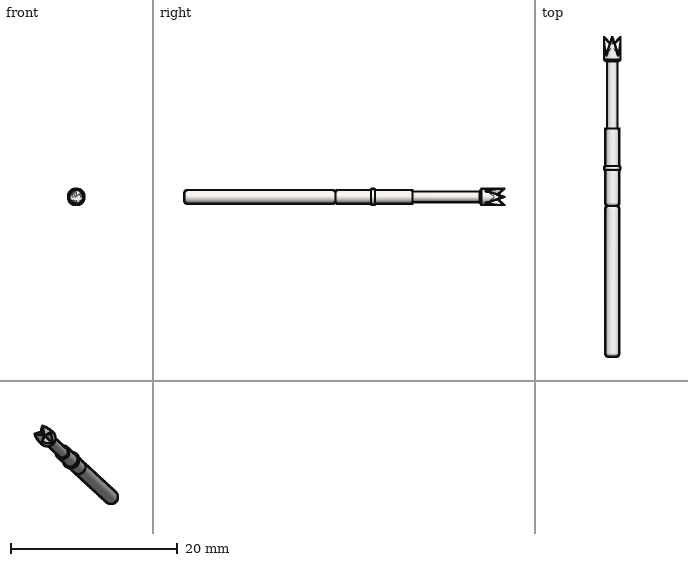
import cadquery as cq
import math

length = 38.4
tip_y = length / 2
tail_y = -length / 2

head_radius = 1.0
head_length = 2.95
head_taper_length = 0.23
plunger_radius = 0.65
barrel_radius = 0.85
barrel_start_y = tip_y - 11.02
tail_fillet = 0.42

ring_radius = 1.0
ring_width = 0.5
ring_y = tip_y - 15.75

groove_y = tip_y - 20.28
groove_round = 0.35

tooth_count = 4
crown_center_depth = 1.08
crown_valley_depth = 2.23


def round_midpoint(center_radius, center_y, radius, y_sign):
    """Middle point of a convex quarter round."""
    offset = radius * math.sqrt(0.5)
    return center_radius + offset, center_y + y_sign * offset


def make_body():
    """Revolve the half outline (radius, y) about the Y axis."""
    head_back_y = tip_y - head_length
    tail_center = (barrel_radius - tail_fillet, tail_y + tail_fillet)
    shoulder_radius = barrel_radius - groove_round
    outline = (
        cq.Workplane("XY")
        .moveTo(0, tip_y)
        .lineTo(head_radius, tip_y)
        .lineTo(head_radius, head_back_y + head_taper_length)
        .lineTo(plunger_radius, head_back_y)
        .lineTo(plunger_radius, barrel_start_y)
        .lineTo(barrel_radius, barrel_start_y)
        .lineTo(barrel_radius, ring_y + ring_width / 2)
        .threePointArc((ring_radius, ring_y), (barrel_radius, ring_y - ring_width / 2))
        .lineTo(barrel_radius, groove_y + groove_round)
        .threePointArc(
            round_midpoint(shoulder_radius, groove_y + groove_round, groove_round, -1),
            (shoulder_radius, groove_y),
        )
        .threePointArc(
            round_midpoint(shoulder_radius, groove_y - groove_round, groove_round, 1),
            (barrel_radius, groove_y - groove_round),
        )
        .lineTo(barrel_radius, tail_center[1])
        .threePointArc(round_midpoint(*tail_center, tail_fillet, -1), (tail_center[0], tail_y))
        .lineTo(0, tail_y)
        .close()
    )
    return outline.revolve(360, (0, 0, 0), (0, 1, 0))


def make_crown_cutter():
    """V prism whose root line slopes down and outward from the axis, in the +X direction."""
    slope = math.atan2(crown_valley_depth - crown_center_depth, head_radius)
    half_tooth_angle = math.pi / tooth_count
    tip_outward = head_radius * math.cos(half_tooth_angle)
    tip_sideways = head_radius * math.sin(half_tooth_angle)
    tip_height = tip_outward * math.sin(slope) + crown_center_depth * math.cos(slope)
    reach = 2
    width = reach * tip_sideways
    height = reach * tip_height
    plane = cq.Plane(
        origin=(0, tip_y - crown_center_depth, 0),
        xDir=(math.sin(slope), math.cos(slope), 0),
        normal=(math.cos(slope), -math.sin(slope), 0),
    )
    profile = cq.Workplane(plane).polyline([(0, 0), (height, width), (height, -width)]).close()
    return profile.extrude(2 * head_length, both=True)


result = make_body()
crown_cutter = make_crown_cutter()
pitch_angle = 360 / tooth_count
for index in range(tooth_count):
    angle = (index + 0.5) * pitch_angle
    result = result.cut(crown_cutter.rotate((0, 0, 0), (0, 1, 0), angle))